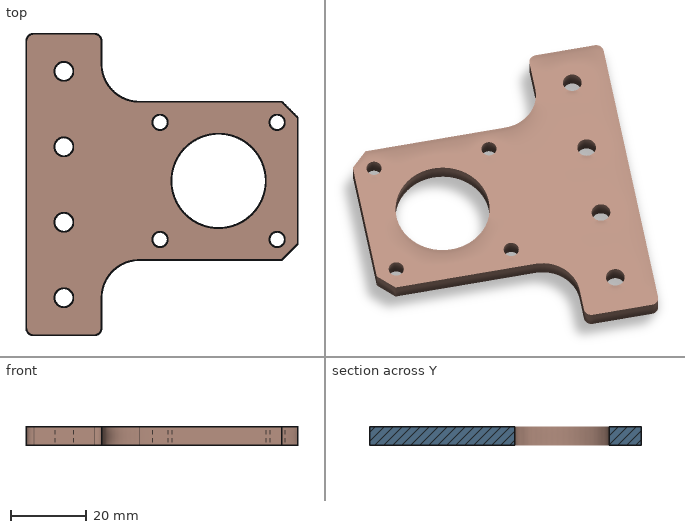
import cadquery as cq

thickness = 5.0
total_length = 72.0

bar_width = 20.0
bar_length = 80.0
bar_corner_radius = 2.0
bar_hole_diameter = 5.0
bar_hole_pitch = 20.0
bar_hole_count = 4

arm_width = 42.0
arm_center_y = 1.0
arm_chamfer = 4.2
inner_corner_radius = 10.0

motor_x = total_length - arm_width / 2
bore_diameter = 25.0
motor_hole_diameter = 4.0
motor_hole_pitch = 31.0


def block(x_size, y_size, y_center):
    """Plate-thick block starting at X = 0."""
    body = cq.Workplane("XY").box(x_size, y_size, thickness, centered=(False, True, False))
    return body.translate((0, y_center, 0))


def select_vertical_edges(body, x):
    """Vertical edges of the body lying at the given X."""
    margin = 0.1
    reach = bar_length
    region = cq.selectors.BoxSelector((x - margin, -reach, -reach), (x + margin, reach, reach))
    return body.edges("|Z").edges(region)


def make_plate():
    """T-shaped plate with rounded bar corners, filleted inner corners and a chamfered arm."""
    bar = block(bar_width, bar_length, 0).edges("|Z").fillet(bar_corner_radius)
    arm = block(total_length, arm_width, arm_center_y)
    arm = select_vertical_edges(arm, total_length).chamfer(arm_chamfer)
    plate = bar.union(arm)
    return select_vertical_edges(plate, bar_width).fillet(inner_corner_radius)


def cut_bar_holes(plate):
    """Row of through holes along the middle of the bar."""
    return (
        plate.faces(">Z")
        .workplane(origin=(bar_width / 2, 0, 0))
        .rarray(0.8, bar_hole_pitch, 1, bar_hole_count)
        .hole(bar_hole_diameter)
    )


def cut_motor_holes(plate):
    """Central bore and its square of four screw holes."""
    motor_origin = (motor_x, arm_center_y, 0)
    bored = plate.faces(">Z").workplane(origin=motor_origin).hole(bore_diameter)
    return (
        bored.faces(">Z")
        .workplane(origin=motor_origin)
        .rarray(motor_hole_pitch, motor_hole_pitch, 2, 2)
        .hole(motor_hole_diameter)
    )


result = cut_motor_holes(cut_bar_holes(make_plate()))